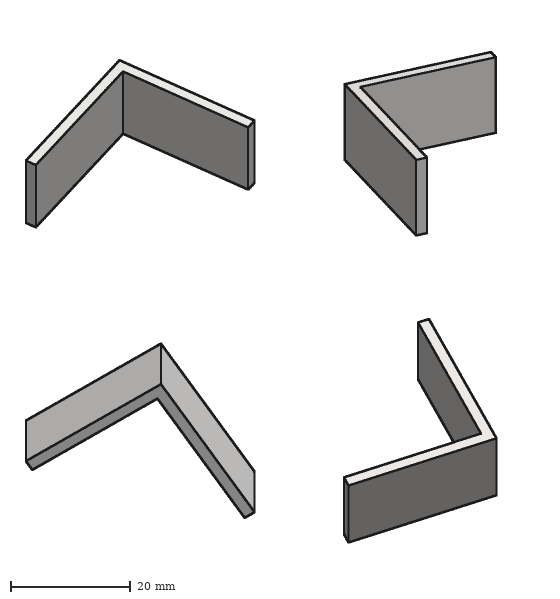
import cadquery as cq

leg_x = 27.0
leg_y = 29.0
height = 14.5
thickness = 2.0

y_leg = cq.Workplane("XY").box(thickness, leg_y, height, centered=False)

x_leg = (
    cq.Workplane("XY")
    .box(leg_x, thickness, height, centered=False)
    .translate((0, leg_y - thickness, 0))
)

result = y_leg.union(x_leg)